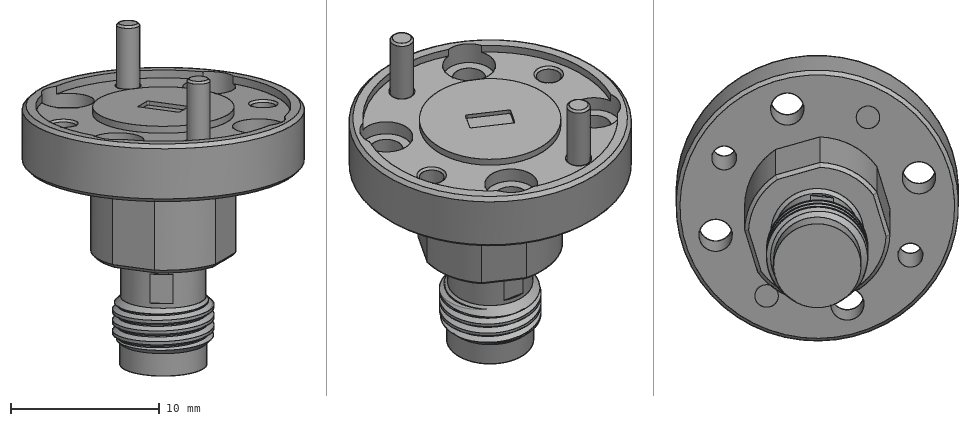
import cadquery as cq
import math

thread_bottom = 1.58
thread_top = 4.75
flare_bottom = 7.48
body_bottom = 7.75
flange_bottom = 14.1
face_level = 18.15
pin_top = 22.0

flange_radius = 9.53
flange_chamfer = 0.26
recess_radius = 8.6
recess_depth = 0.55
boss_radius = 4.77
boss_setback = 0.07
recess_floor = face_level - recess_depth
boss_top = face_level - boss_setback

bolt_circle_radius = 7.15
screw_hole_radius = 1.12
counterbore_radius = 1.78
counterbore_depth = 1.0
guide_hole_radius = 0.84
guide_hole_chamfer = 0.15

pin_radius = 0.8
pin_chamfer = 0.15
pin_hole_chamfer = 0.09

waveguide_length = 3.1
waveguide_width = 1.56
waveguide_corner_radius = 0.13
waveguide_depth = 0.29

body_radius = 4.9
body_across_flats = 9.3
body_chamfer = 0.26

neck_radius = 2.88
flare_radius = 3.15
tip_radius = 2.95
neck_flat_distance = 2.77
neck_flat_width = 1.55
neck_flat_height = 2.05
neck_flat_middle = 6.1
neck_flat_angle = -67

thread_radius = 3.43
thread_pitch = 0.75
thread_depth = 0.37
thread_root_flat = 0.09
groove_half_angle = 30
groove_start = 0.73
groove_turns = 5.6
groove_overshoot = 0.07


def cylinder(radius, bottom, top):
    return cq.Workplane("XY").workplane(offset=bottom).circle(radius).extrude(top - bottom)


def bolt_circle_points(angles):
    return [
        (
            bolt_circle_radius * math.cos(math.radians(angle)),
            bolt_circle_radius * math.sin(math.radians(angle)),
        )
        for angle in angles
    ]


screw_points = bolt_circle_points([0, 90, 180, 270])
guide_points = bolt_circle_points([45, 225])
pin_points = bolt_circle_points([135, 315])


def countersunk_hole(point, radius, chamfer):
    """Cutter for a hole through the flange, chamfered where it meets the recess floor."""
    hole = cylinder(radius, flange_bottom, recess_floor)
    mouth = (
        cq.Workplane("XY")
        .workplane(offset=recess_floor - chamfer)
        .circle(radius)
        .workplane(offset=chamfer)
        .circle(radius + chamfer)
        .loft()
    )
    return hole.union(mouth).translate((*point, 0))


def make_flange():
    flange = cylinder(flange_radius, flange_bottom, face_level).edges().chamfer(flange_chamfer)
    recess = cylinder(recess_radius, recess_floor, face_level)
    boss = cylinder(boss_radius, recess_floor, boss_top)
    flange = flange.cut(recess).union(boss)

    counterbore_floor = recess_floor - counterbore_depth
    for point in screw_points:
        flange = flange.cut(cylinder(screw_hole_radius, flange_bottom, face_level).translate((*point, 0)))
        flange = flange.cut(cylinder(counterbore_radius, counterbore_floor, face_level).translate((*point, 0)))
    for point in guide_points:
        flange = flange.cut(countersunk_hole(point, guide_hole_radius, guide_hole_chamfer))
    for point in pin_points:
        flange = flange.cut(countersunk_hole(point, pin_radius, pin_hole_chamfer))

    waveguide = (
        cq.Workplane("XY")
        .workplane(offset=boss_top - waveguide_depth)
        .rect(waveguide_length, waveguide_width)
        .extrude(waveguide_depth)
        .edges("|Z")
        .fillet(waveguide_corner_radius)
    )
    return flange.cut(waveguide)


def make_body():
    height = flange_bottom - body_bottom
    flats = (
        cq.Workplane("XY")
        .workplane(offset=body_bottom)
        .rect(body_across_flats, body_across_flats)
        .extrude(height)
        .faces("<Z")
        .chamfer(body_chamfer)
    )
    barrel = cylinder(body_radius, body_bottom, flange_bottom).faces("<Z").chamfer(body_chamfer)
    return barrel.intersect(flats)


def make_neck():
    """Turned neck with a flare under the body and two opposite sunken flats."""
    neck = cylinder(neck_radius, thread_top, flare_bottom)
    flare = (
        cq.Workplane("XY")
        .workplane(offset=flare_bottom)
        .circle(neck_radius)
        .workplane(offset=body_bottom - flare_bottom)
        .circle(flare_radius)
        .loft()
    )
    flat_cut_depth = neck_radius - neck_flat_distance
    for angle in (neck_flat_angle, neck_flat_angle + 180):
        flat_cut = (
            cq.Workplane("XY")
            .box(flat_cut_depth, neck_flat_width, neck_flat_height, centered=(False, True, True))
            .translate((neck_flat_distance, 0, neck_flat_middle))
            .rotate((0, 0, 0), (0, 0, 1), angle)
        )
        neck = neck.cut(flat_cut)
    return neck.union(flare)


def make_thread():
    """Right-hand thread: a rod with a helical V groove, trimmed to a turned shape with 45 degree ends."""
    top_chamfer = thread_radius - neck_radius
    bottom_chamfer = thread_radius - tip_radius
    turned_shape = (
        cq.Workplane("XZ")
        .polyline(
            [
                (0, thread_bottom),
                (tip_radius, thread_bottom),
                (thread_radius, thread_bottom + bottom_chamfer),
                (thread_radius, thread_top - top_chamfer),
                (neck_radius, thread_top),
                (0, thread_top),
            ]
        )
        .close()
        .revolve(360, (0, 0, 0), (0, 1, 0))
    )
    root_radius = thread_radius - thread_depth
    mouth_radius = thread_radius + groove_overshoot
    root_half_width = thread_root_flat / 2
    flank_rise = (mouth_radius - root_radius) * math.tan(math.radians(groove_half_angle))
    mouth_half_width = root_half_width + flank_rise
    helix = cq.Wire.makeHelix(
        thread_pitch,
        thread_pitch * groove_turns,
        root_radius,
        center=cq.Vector(0, 0, groove_start),
    )
    groove = (
        cq.Workplane("XZ")
        .polyline(
            [
                (root_radius, groove_start + root_half_width),
                (mouth_radius, groove_start + mouth_half_width),
                (mouth_radius, groove_start - mouth_half_width),
                (root_radius, groove_start - root_half_width),
            ]
        )
        .close()
        .sweep(cq.Workplane(helix), isFrenet=True)
    )
    threaded_rod = cylinder(thread_radius, 0, body_bottom).cut(groove)
    return threaded_rod.intersect(turned_shape)


def make_housing():
    tip = cylinder(tip_radius, 0, thread_bottom)
    return make_flange().union(make_body()).union(make_neck()).union(make_thread()).union(tip)


def make_pin(point):
    pin = cylinder(pin_radius, flange_bottom, pin_top).faces(">Z").chamfer(pin_chamfer)
    return pin.translate((*point, 0))


housing = make_housing()
pins = [make_pin(point) for point in pin_points]

result = cq.Compound.makeCompound([housing.val(), *[pin.val() for pin in pins]])